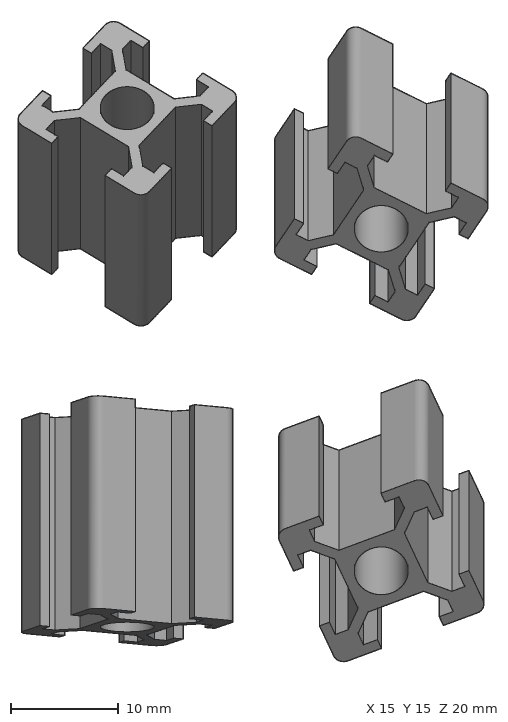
import math

import cadquery as cq

width = 15.0
length = 20.0
corner_radius = 1.0

slot_opening = 6.2
slot_inner_width = 9.0
lip_thickness = 1.0

core_width = 7.0
bore_diameter = 5.0
web_thickness = 1.0


def blank():
    """Square bar with rounded long edges."""
    return cq.Workplane("XY").rect(width, width).extrude(length).edges("|Z").fillet(corner_radius)


def slot_cutter():
    """T-slot on the +Y side, narrowing along the webs down to a flat floor."""
    half_opening = slot_opening / 2
    half_inner = slot_inner_width / 2
    outer_face = width / 2
    lip_inside = outer_face - lip_thickness
    floor = core_width / 2
    web_offset = web_thickness / 2 * math.sqrt(2)
    half_floor = floor - web_offset
    shoulder = half_inner + web_offset
    right_side = [
        (half_floor, floor),
        (half_inner, shoulder),
        (half_inner, lip_inside),
        (half_opening, lip_inside),
        (half_opening, outer_face),
    ]
    left_side = [(-x, y) for x, y in reversed(right_side)]
    return cq.Workplane("XY").polyline(right_side + left_side).close().extrude(length)


def profile():
    """Bar with a T-slot on every side and a bore along its axis."""
    body = blank()
    cutter = slot_cutter()
    for angle in (0, 90, 180, 270):
        body = body.cut(cutter.rotate((0, 0, 0), (0, 0, 1), angle))
    return body.faces(">Z").workplane(origin=(0, 0, length)).hole(bore_diameter)


result = profile()